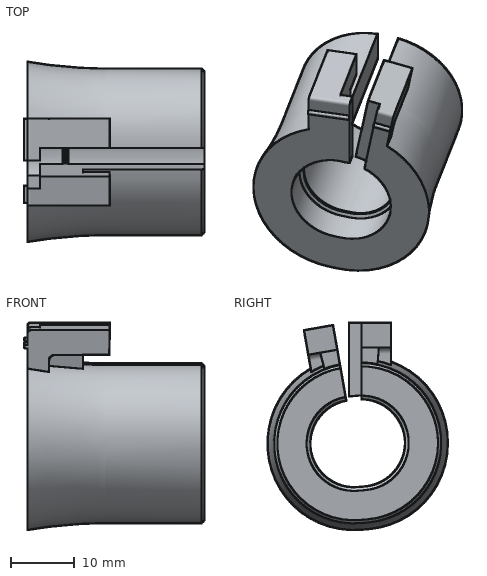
import cadquery as cq
import math


length = 27.85
neck_radius = 12.56
mouth_radius = 13.625
flare_length = 12.3
rim_chamfer = 0.5
axis_spacing = 1.17
opening_angle = 10.0
half_opening = opening_angle / 2

bore_radius = 7.45
rib_radius = 6.85
rib_start = 5.5
rib_foot = 0.95
rib_crest = 0.3
rib_flank = (rib_foot - rib_crest) / 2

ear_top = 18.94
ear_thickness = 4.67
ear_length = 12.98
ear_rear_lean = 0.1
ear_root = 10.0
foot_length = 3.4
undercut_height = 15.0
undercut_radius = 1.0
front_edge_radius = 0.5
web_end = 8.77
web_root_thickness = 2.35
web_top_thickness = 2.75

tooth_size = 1.95
tooth_root = 5.0

bead_height = 16.3
bead_radius = 0.3
bead_reach = 0.55

reach = 40.0
half_turn = 180.0
bore_overlap = 25.0


def split_revolve(profile, sweep_angle):
    """Sweep a profile lying below the axis around both half ring axes and along the hinge."""
    plus_half = profile.revolve(sweep_angle, (0, 0, 0), (1, 0, 0))
    minus_half = plus_half.mirror("XZ").translate((0, -axis_spacing, 0))
    hinge = profile.toPending().extrude(axis_spacing)
    return hinge.union(plus_half).union(minus_half)


def sleeve():
    drop = mouth_radius - neck_radius
    flare_radius = (flare_length**2 + drop**2) / (2 * drop)
    mid_x = flare_length / 2
    mid_radius = neck_radius + flare_radius - math.sqrt(flare_radius**2 - mid_x**2)
    profile = (
        cq.Workplane("XZ")
        .moveTo(0, 0)
        .lineTo(0, -mouth_radius)
        .threePointArc((mid_x, -mid_radius), (flare_length, -neck_radius))
        .lineTo(length - rim_chamfer, -neck_radius)
        .lineTo(length, -neck_radius + rim_chamfer)
        .lineTo(length, 0)
        .close()
    )
    return split_revolve(profile, half_turn)


def bore():
    rib_end = rib_start + rib_foot
    profile = (
        cq.Workplane("XZ")
        .moveTo(0, 0)
        .lineTo(0, -bore_radius)
        .lineTo(rib_start, -bore_radius)
        .lineTo(rib_start + rib_flank, -rib_radius)
        .lineTo(rib_end - rib_flank, -rib_radius)
        .lineTo(rib_end, -bore_radius)
        .lineTo(length, -bore_radius)
        .lineTo(length, 0)
        .close()
    )
    return split_revolve(profile, half_turn + bore_overlap)


def slit():
    spread = reach * math.tan(math.radians(half_opening))
    return (
        cq.Workplane("YZ")
        .polyline([(0, 0), (spread, reach), (-axis_spacing - spread, reach), (-axis_spacing, 0)])
        .close()
        .extrude(length)
    )


def block(x_range, y_range, z_range):
    start, end = zip(x_range, y_range, z_range)
    size = [high - low for low, high in zip(start, end)]
    return cq.Workplane("XY").box(*size, centered=False).translate(start)


def ear():
    """Ear of the +Y half, upright, with its slit face on the plane Y = 0."""
    arm = (
        cq.Workplane("XZ")
        .moveTo(0, ear_root)
        .lineTo(foot_length, ear_root)
        .lineTo(foot_length, undercut_height - undercut_radius)
        .radiusArc((foot_length + undercut_radius, undercut_height), undercut_radius)
        .lineTo(ear_length - ear_rear_lean, undercut_height)
        .lineTo(ear_length, ear_top)
        .lineTo(0, ear_top)
        .close()
        .extrude(-ear_thickness)
    )
    web = (
        cq.Workplane("YZ")
        .polyline([
            (0, ear_root),
            (web_root_thickness, ear_root),
            (web_top_thickness, undercut_height),
            (0, undercut_height),
        ])
        .close()
        .extrude(web_end)
    )
    return arm.union(web)


def tooth():
    return block((0, tooth_size), (-tooth_size, 0), (tooth_root, ear_top))


def notch():
    return block((0, tooth_size), (0, tooth_size), (0, reach))


def bead(y_start):
    return (
        cq.Workplane("XZ", origin=(0, y_start, bead_height))
        .moveTo(0, bead_radius)
        .lineTo(bead_radius - bead_reach, bead_radius)
        .threePointArc((-bead_reach, 0), (bead_radius - bead_reach, -bead_radius))
        .lineTo(0, -bead_radius)
        .close()
        .extrude(y_start - ear_thickness)
    )


def round_front_edge(shape):
    return shape.edges("<X and >Z").fillet(front_edge_radius)


def on_plus_half(shape):
    """Lean an upright feature onto the +Y half ring."""
    return shape.rotate((0, 0, 0), (1, 0, 0), -half_opening)


def on_minus_half(shape):
    """Mirror an upright feature and lean it onto the -Y half ring."""
    return on_plus_half(shape).mirror("XZ").translate((0, -axis_spacing, 0))


plus_ear = round_front_edge(ear().union(tooth())).union(bead(-tooth_size))
minus_ear = round_front_edge(ear()).union(bead(tooth_size))

result = (
    sleeve()
    .cut(slit())
    .union(on_plus_half(plus_ear))
    .union(on_minus_half(minus_ear))
    .cut(on_minus_half(notch()))
    .cut(bore())
    .rotate((0, 0, 0), (1, 0, 0), half_opening)
)